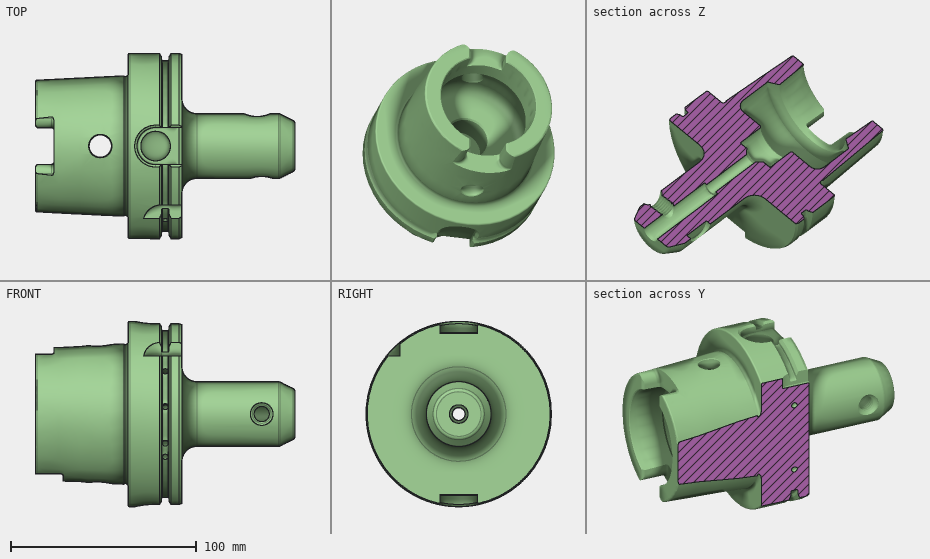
import cadquery as cq
import math


SHANK_LENGTH = 50
TAPER_SLOPE = 0.05
TAPER_RADIUS_AT_FACE = 38
SHANK_END_FILLET = 1
NECK_RADIUS = 37.5
NECK_START = -2.1
NECK_FILLET = 1.5

BORE_MOUTH_RADIUS = 26.5
BORE_RADIUS = 25.7
BORE_CHAMFER = 0.5
SHOULDER_START = -30.7
SHOULDER_ANGLE = 60
RECESS_RADIUS = 31.5
RECESS_FILLET = 5.5
BORE_FLOOR = -4

COOLANT_RADIUS = 11.5
COOLANT_CHAMFER = 0.8
COOLANT_FLOOR = 12
CHANNEL_RADIUS = 3.4
CHANNEL_MOUTH_RADIUS = 6.4

SHANK_SLOT_HALF_WIDTH = 9.8
SHANK_SLOT_CORNER = 5
SHANK_SLOT_FLOOR_FILLET = 1.2
SHANK_SLOT_MOUTH_CHAMFER = 1.2
SHANK_LAND_HEIGHT = 32.3
UPPER_SLOT_DEPTH = 10
LOWER_SLOT_DEPTH = 15

CROSS_HOLE_X = -15
CROSS_HOLE_RADIUS = 6
CROSS_HOLE_CHAMFER = 0.3

FLANGE_RADIUS = 50
FLANGE_WIDTH = 29
FLANGE_FRONT_FILLET = 0.9
FLANGE_BACK_CHAMFER_LENGTH = 1.5
FLANGE_BACK_CHAMFER_DEPTH = 0.7
GROOVE_X = 20
GROOVE_FLOOR_RADIUS = 46.1
GROOVE_MOUTH_HALF_WIDTH = 3.1
GROOVE_HALF_WIDTH = 1.95
GROOVE_FLANK_ANGLE = 30
GROOVE_FLOOR_FILLET = 0.5

KEY_SLOT_X = 14.8
KEY_SLOT_HALF_WIDTH = 10
KEY_SLOT_RIM_CHAMFER = 1.3
KEY_SLOT_FLOOR = 44
CHIP_HOLE_RADIUS = 8
CHIP_HOLE_DEPTH = 5

NOTCH_X = 18
NOTCH_Y = -31.7
NOTCH_Z = 31.4
NOTCH_CUTTER_RADIUS = 10

BALANCE_HOLE_ANGLES = (30, 5, -20, -30)
BALANCE_HOLE_RADIUS = 1.6
BALANCE_HOLE_DEPTH = 8
DRILL_POINT_ANGLE = 118

NOSE_END = 90
NOSE_RADIUS = 17.5
NOSE_ROOT_FILLET = 8
NOSE_CONE_START = 81.5
NOSE_CONE_ANGLE = 26.5
NOSE_CONE_FILLET = 1.5
NOSE_END_FILLET = 2
TOOL_BORE_RADIUS = 5
TOOL_BORE_DEPTH = 45

SCREW_X = 72
SCREW_MINOR_RADIUS = 4.1
SCREW_MAJOR_RADIUS = 5
SCREW_MOUTH_RADIUS = 6.1
THREAD_PITCH = 1.5

POCKET_X = 69.5
POCKET_RADIUS = 7.2
POCKET_DEPTH = 3

BEYOND = 20
PICK_MARGIN = 1


def taper_radius(x):
    return TAPER_RADIUS_AT_FACE + TAPER_SLOPE * x


def revolve_about_x(profile):
    return profile.close().revolve(360, (0, 0, 0), (1, 0, 0))


def make_shank():
    shank = revolve_about_x(
        cq.Workplane("XY")
        .moveTo(-SHANK_LENGTH, 0)
        .lineTo(-SHANK_LENGTH, taper_radius(-SHANK_LENGTH))
        .lineTo(NECK_START, taper_radius(NECK_START))
        .lineTo(NECK_START, NECK_RADIUS)
        .lineTo(0, NECK_RADIUS)
        .lineTo(0, 0)
    )
    return shank.faces("<X").edges().fillet(SHANK_END_FILLET)


def make_flange():
    """Flange disc with its two key slots, their rims chamfered."""
    flange = revolve_about_x(
        cq.Workplane("XY")
        .lineTo(0, FLANGE_RADIUS - FLANGE_FRONT_FILLET)
        .radiusArc((FLANGE_FRONT_FILLET, FLANGE_RADIUS), FLANGE_FRONT_FILLET)
        .lineTo(FLANGE_WIDTH, FLANGE_RADIUS)
        .lineTo(FLANGE_WIDTH, 0)
    )
    flange = flange.cut(make_key_slot()).cut(mirror_down(make_key_slot()))
    rim_z = math.sqrt(FLANGE_RADIUS**2 - KEY_SLOT_HALF_WIDTH**2)
    inner_z = rim_z - PICK_MARGIN
    outer_z = FLANGE_RADIUS + PICK_MARGIN
    half_width = KEY_SLOT_HALF_WIDTH + PICK_MARGIN
    for low_z, high_z in ((inner_z, outer_z), (-outer_z, -inner_z)):
        rim = cq.selectors.BoxSelector(
            (FLANGE_FRONT_FILLET, -half_width, low_z),
            (FLANGE_WIDTH - PICK_MARGIN, half_width, high_z),
        )
        flange = flange.edges(rim).chamfer(KEY_SLOT_RIM_CHAMFER)
    return flange.cut(make_back_chamfer())


def make_back_chamfer():
    return revolve_about_x(
        cq.Workplane("XY")
        .moveTo(FLANGE_WIDTH - FLANGE_BACK_CHAMFER_LENGTH, FLANGE_RADIUS)
        .lineTo(FLANGE_WIDTH, FLANGE_RADIUS)
        .lineTo(FLANGE_WIDTH, FLANGE_RADIUS - FLANGE_BACK_CHAMFER_DEPTH)
    )


def make_neck_fillet():
    outer = NECK_RADIUS + NECK_FILLET
    return revolve_about_x(
        cq.Workplane("XY")
        .moveTo(0, NECK_RADIUS)
        .lineTo(-NECK_FILLET, NECK_RADIUS)
        .radiusArc((0, outer), -NECK_FILLET)
    )


def make_nose():
    cone_length = NOSE_END - NOSE_CONE_START
    end_radius = NOSE_RADIUS - cone_length * math.tan(math.radians(NOSE_CONE_ANGLE))
    root_end = FLANGE_WIDTH + NOSE_ROOT_FILLET
    nose = revolve_about_x(
        cq.Workplane("XY")
        .moveTo(FLANGE_WIDTH, 0)
        .lineTo(FLANGE_WIDTH, NOSE_RADIUS + NOSE_ROOT_FILLET)
        .radiusArc((root_end, NOSE_RADIUS), -NOSE_ROOT_FILLET)
        .lineTo(NOSE_CONE_START, NOSE_RADIUS)
        .lineTo(NOSE_END, end_radius)
        .lineTo(NOSE_END, 0)
    )
    nose = nose.faces(">X").edges().fillet(NOSE_END_FILLET)
    cone_edge = cq.selectors.BoxSelector(
        (NOSE_CONE_START - PICK_MARGIN, -BEYOND, -BEYOND),
        (NOSE_CONE_START + PICK_MARGIN, BEYOND, BEYOND),
    )
    return nose.edges("%CIRCLE").edges(cone_edge).fillet(NOSE_CONE_FILLET)


def make_bore():
    slope = math.tan(math.radians(SHOULDER_ANGLE))
    shoulder_end = SHOULDER_START + (RECESS_RADIUS - BORE_RADIUS) / slope
    channel_start = COOLANT_FLOOR + CHANNEL_MOUTH_RADIUS - CHANNEL_RADIUS
    tool_bore_floor = NOSE_END - TOOL_BORE_DEPTH
    return revolve_about_x(
        cq.Workplane("XY")
        .moveTo(-SHANK_LENGTH, 0)
        .lineTo(-SHANK_LENGTH, BORE_MOUTH_RADIUS + BORE_CHAMFER)
        .lineTo(-SHANK_LENGTH + BORE_CHAMFER, BORE_MOUTH_RADIUS)
        .lineTo(SHOULDER_START, BORE_RADIUS)
        .lineTo(shoulder_end, RECESS_RADIUS)
        .lineTo(BORE_FLOOR - RECESS_FILLET, RECESS_RADIUS)
        .radiusArc((BORE_FLOOR, RECESS_RADIUS - RECESS_FILLET), RECESS_FILLET)
        .lineTo(BORE_FLOOR, COOLANT_RADIUS + COOLANT_CHAMFER)
        .lineTo(BORE_FLOOR + COOLANT_CHAMFER, COOLANT_RADIUS)
        .lineTo(COOLANT_FLOOR, COOLANT_RADIUS)
        .lineTo(COOLANT_FLOOR, CHANNEL_MOUTH_RADIUS)
        .lineTo(channel_start, CHANNEL_RADIUS)
        .lineTo(tool_bore_floor, CHANNEL_RADIUS)
        .lineTo(tool_bore_floor, TOOL_BORE_RADIUS)
        .lineTo(NOSE_END, TOOL_BORE_RADIUS)
        .lineTo(NOSE_END, 0)
    )


def make_groove():
    flank_width = GROOVE_MOUTH_HALF_WIDTH - GROOVE_HALF_WIDTH
    flank_depth = flank_width / math.tan(math.radians(GROOVE_FLANK_ANGLE))
    flank_radius = FLANGE_RADIUS - flank_depth
    groove = revolve_about_x(
        cq.Workplane("XY")
        .moveTo(GROOVE_X - GROOVE_MOUTH_HALF_WIDTH, FLANGE_RADIUS)
        .lineTo(GROOVE_X - GROOVE_HALF_WIDTH, flank_radius)
        .lineTo(GROOVE_X - GROOVE_HALF_WIDTH, GROOVE_FLOOR_RADIUS)
        .lineTo(GROOVE_X + GROOVE_HALF_WIDTH, GROOVE_FLOOR_RADIUS)
        .lineTo(GROOVE_X + GROOVE_HALF_WIDTH, flank_radius)
        .lineTo(GROOVE_X + GROOVE_MOUTH_HALF_WIDTH, FLANGE_RADIUS)
    )
    floor = cq.selectors.RadiusNthSelector(0)
    return groove.edges("%CIRCLE").edges(floor).fillet(GROOVE_FLOOR_FILLET)


def make_shank_slot(depth):
    """Slot open to the +Z side and to the shank end, flaring into flats beside it."""
    round_start = SHANK_LAND_HEIGHT - SHANK_SLOT_CORNER
    round_end = SHANK_SLOT_HALF_WIDTH + SHANK_SLOT_CORNER
    top = FLANGE_RADIUS
    slot = (
        cq.Workplane("YZ", origin=(-SHANK_LENGTH, 0, 0))
        .moveTo(-SHANK_SLOT_HALF_WIDTH, 0)
        .lineTo(-SHANK_SLOT_HALF_WIDTH, round_start)
        .radiusArc((-round_end, SHANK_LAND_HEIGHT), -SHANK_SLOT_CORNER)
        .lineTo(-top, SHANK_LAND_HEIGHT)
        .lineTo(-top, top)
        .lineTo(top, top)
        .lineTo(top, SHANK_LAND_HEIGHT)
        .lineTo(round_end, SHANK_LAND_HEIGHT)
        .radiusArc((SHANK_SLOT_HALF_WIDTH, round_start), -SHANK_SLOT_CORNER)
        .lineTo(SHANK_SLOT_HALF_WIDTH, 0)
        .close()
        .extrude(depth)
    )
    slot = slot.faces(">X").edges().fillet(SHANK_SLOT_FLOOR_FILLET)
    mouth_half_width = SHANK_SLOT_HALF_WIDTH + SHANK_SLOT_MOUTH_CHAMFER
    mouth = (
        cq.Workplane("XY", origin=(-SHANK_LENGTH, 0, 0))
        .moveTo(0, -mouth_half_width)
        .lineTo(SHANK_SLOT_MOUTH_CHAMFER, -SHANK_SLOT_HALF_WIDTH)
        .lineTo(SHANK_SLOT_MOUTH_CHAMFER, SHANK_SLOT_HALF_WIDTH)
        .lineTo(0, mouth_half_width)
        .close()
        .extrude(SHANK_LAND_HEIGHT)
    )
    return slot.union(mouth)


def make_key_slot():
    """Round-ended slot cut down from +Z and open towards the nose."""
    length = FLANGE_WIDTH - KEY_SLOT_X
    slot = (
        cq.Workplane("XY", origin=(KEY_SLOT_X, 0, KEY_SLOT_FLOOR))
        .moveTo(length, -KEY_SLOT_HALF_WIDTH)
        .lineTo(0, -KEY_SLOT_HALF_WIDTH)
        .radiusArc((0, KEY_SLOT_HALF_WIDTH), KEY_SLOT_HALF_WIDTH)
        .lineTo(length, KEY_SLOT_HALF_WIDTH)
        .close()
        .extrude(BEYOND)
    )
    floor_chamfer = (
        cq.Workplane("XZ", origin=(FLANGE_WIDTH, KEY_SLOT_HALF_WIDTH, KEY_SLOT_FLOOR))
        .lineTo(-FLANGE_BACK_CHAMFER_LENGTH, 0)
        .lineTo(0, -FLANGE_BACK_CHAMFER_DEPTH)
        .close()
        .extrude(2 * KEY_SLOT_HALF_WIDTH)
    )
    return slot.union(floor_chamfer)


def make_chip_hole():
    return (
        cq.Workplane("XY", origin=(KEY_SLOT_X, 0, KEY_SLOT_FLOOR - CHIP_HOLE_DEPTH))
        .circle(CHIP_HOLE_RADIUS)
        .extrude(CHIP_HOLE_DEPTH + BEYOND)
    )


def make_notch():
    length = FLANGE_WIDTH - NOTCH_X
    return (
        cq.Workplane("XY", origin=(NOTCH_X, NOTCH_Y, NOTCH_Z))
        .lineTo(length, 0)
        .lineTo(length, -BEYOND)
        .lineTo(-NOTCH_CUTTER_RADIUS, -BEYOND)
        .lineTo(-NOTCH_CUTTER_RADIUS, -NOTCH_CUTTER_RADIUS)
        .radiusArc((0, 0), NOTCH_CUTTER_RADIUS)
        .close()
        .extrude(BEYOND)
    )


def cut_cross_hole(shank):
    hole = (
        cq.Workplane("XY", origin=(CROSS_HOLE_X, 0, -FLANGE_RADIUS))
        .circle(CROSS_HOLE_RADIUS)
        .extrude(2 * FLANGE_RADIUS)
    )
    reach = CROSS_HOLE_RADIUS + PICK_MARGIN
    mouths = cq.selectors.BoxSelector(
        (CROSS_HOLE_X - reach, -reach, -FLANGE_RADIUS),
        (CROSS_HOLE_X + reach, reach, FLANGE_RADIUS),
    )
    return shank.cut(hole).edges(mouths).edges("not |Z").chamfer(CROSS_HOLE_CHAMFER)


def make_balance_hole(angle):
    point_length = BALANCE_HOLE_RADIUS / math.tan(math.radians(DRILL_POINT_ANGLE / 2))
    hole = (
        cq.Workplane("XY", origin=(GROOVE_X, -GROOVE_FLOOR_RADIUS, 0))
        .lineTo(BALANCE_HOLE_RADIUS, 0)
        .lineTo(BALANCE_HOLE_RADIUS, BALANCE_HOLE_DEPTH)
        .lineTo(0, BALANCE_HOLE_DEPTH + point_length)
        .close()
        .revolve(360, (0, 0, 0), (0, 1, 0))
    )
    return hole.rotate((0, 0, 0), (1, 0, 0), -angle)


def make_screw_hole():
    """Countersunk hole from -Y to the tool bore, with the thread as ring grooves."""
    mouth_y = -math.sqrt(NOSE_RADIUS**2 - SCREW_MOUTH_RADIUS**2)
    thread_start = mouth_y + SCREW_MOUTH_RADIUS - SCREW_MAJOR_RADIUS
    groove_count = int((-thread_start - TOOL_BORE_RADIUS) / THREAD_PITCH)
    profile = (
        cq.Workplane("XY")
        .moveTo(SCREW_X, -NOSE_RADIUS)
        .lineTo(SCREW_X + SCREW_MOUTH_RADIUS, -NOSE_RADIUS)
        .lineTo(SCREW_X + SCREW_MOUTH_RADIUS, mouth_y)
        .lineTo(SCREW_X + SCREW_MAJOR_RADIUS, thread_start)
    )
    for index in range(groove_count):
        crest_y = thread_start + (index + 0.5) * THREAD_PITCH
        profile = profile.lineTo(SCREW_X + SCREW_MINOR_RADIUS, crest_y)
        profile = profile.lineTo(SCREW_X + SCREW_MAJOR_RADIUS, crest_y + THREAD_PITCH / 2)
    thread_end = thread_start + (groove_count + 0.5) * THREAD_PITCH
    profile = profile.lineTo(SCREW_X + SCREW_MINOR_RADIUS, thread_end)
    profile = profile.lineTo(SCREW_X + SCREW_MINOR_RADIUS, 0).lineTo(SCREW_X, 0).close()
    return profile.revolve(360, (SCREW_X, 0, 0), (SCREW_X, 1, 0))


def make_pocket():
    return (
        cq.Workplane("XZ", origin=(POCKET_X, NOSE_RADIUS, 0))
        .circle(POCKET_RADIUS)
        .extrude(POCKET_DEPTH)
    )


def mirror_down(cutter):
    return cutter.mirror("XY")


body = cut_cross_hole(make_shank()).union(make_flange()).union(make_neck_fillet()).union(make_nose())
body = body.cut(make_bore()).cut(make_groove())
body = body.cut(make_shank_slot(UPPER_SLOT_DEPTH))
body = body.cut(mirror_down(make_shank_slot(LOWER_SLOT_DEPTH)))
body = body.cut(make_chip_hole())
body = body.cut(make_notch())
for hole_angle in BALANCE_HOLE_ANGLES:
    body = body.cut(make_balance_hole(hole_angle))
body = body.cut(make_screw_hole()).cut(make_pocket())

result = body